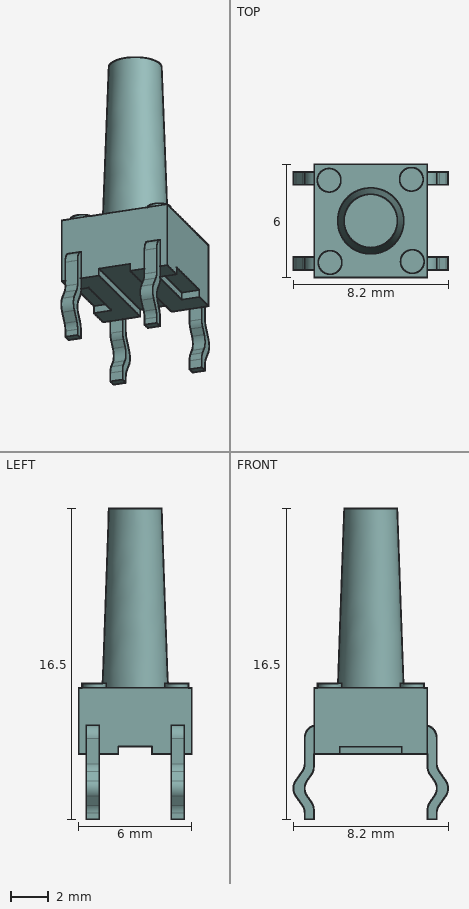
import cadquery as cq
import math

BODY_SIDE = 6.0
BODY_HEIGHT = 3.5
NOTCH_HEIGHT = 0.4
CHANNEL_WIDTH = 1.77
RECESS_WIDTH = 3.3
RECESS_DEPTH = 1.0

PLUNGER_BASE_DIAMETER = 3.5
PLUNGER_TOP_DIAMETER = 2.82
PLUNGER_LENGTH = 9.5

RIVET_DIAMETER = 1.25
RIVET_HEIGHT = 0.25
RIVET_X = 2.15
RIVET_Y = 2.2
RIVET_COUNT = 4

LEAD_THICKNESS = 0.5
LEAD_WIDTH = 0.7
LEAD_ROW_Y = 2.25
LEAD_TOP_Z = 1.55
LEAD_BOTTOM_Z = -3.45
LEAD_EMBED = 0.5
KINK_Z = -1.81
KINK_REACH = 0.6
KINK_ANGLE = math.radians(35)
BEND_RADIUS = 0.7

HALF_SIDE = BODY_SIDE / 2


def make_body():
    body = cq.Workplane("XY").box(BODY_SIDE, BODY_SIDE, BODY_HEIGHT, centered=(True, True, False))
    channel = cq.Workplane("XY").box(BODY_SIDE, CHANNEL_WIDTH, NOTCH_HEIGHT, centered=(True, True, False))
    body = body.cut(channel)
    recess = cq.Workplane("XY").box(RECESS_WIDTH, RECESS_DEPTH, NOTCH_HEIGHT, centered=(True, True, False))
    for side in (-1, 1):
        recess_y = side * (HALF_SIDE - RECESS_DEPTH / 2)
        body = body.cut(recess.translate((0, recess_y, 0)))
    return body


def make_plunger():
    return (
        cq.Workplane("XY", origin=(0, 0, BODY_HEIGHT))
        .circle(PLUNGER_BASE_DIAMETER / 2)
        .workplane(offset=PLUNGER_LENGTH)
        .circle(PLUNGER_TOP_DIAMETER / 2)
        .loft()
    )


def make_rivets():
    radius = math.hypot(RIVET_X, RIVET_Y)
    first_angle = math.degrees(math.atan2(RIVET_Y, RIVET_X))
    return (
        cq.Workplane("XY", origin=(0, 0, BODY_HEIGHT))
        .polarArray(radius, first_angle, 360, RIVET_COUNT)
        .circle(RIVET_DIAMETER / 2)
        .extrude(RIVET_HEIGHT)
    )


def make_lead():
    """One lead on the +X side, centred on y = 0."""
    inner_x = HALF_SIDE
    outer_x = inner_x + LEAD_THICKNESS

    tip_rounding = BEND_RADIUS * (1 / math.cos(KINK_ANGLE) - 1)
    outer_tip_x = outer_x + KINK_REACH + tip_rounding
    inner_tip_x = outer_tip_x - LEAD_THICKNESS / math.cos(KINK_ANGLE)
    outer_rise = (outer_tip_x - outer_x) / math.tan(KINK_ANGLE)
    inner_rise = (inner_tip_x - inner_x) / math.tan(KINK_ANGLE)

    stub_end_x = inner_x - LEAD_EMBED
    stub_bottom_z = LEAD_TOP_Z - LEAD_THICKNESS
    elbow = (outer_x, LEAD_TOP_Z)
    outer_kink = [
        (outer_x, KINK_Z + outer_rise),
        (outer_tip_x, KINK_Z),
        (outer_x, KINK_Z - outer_rise),
    ]
    inner_kink = [
        (inner_x, KINK_Z - inner_rise),
        (inner_tip_x, KINK_Z),
        (inner_x, KINK_Z + inner_rise),
    ]
    foot = [(outer_x, LEAD_BOTTOM_Z), (inner_x, LEAD_BOTTOM_Z)]
    stub = [(inner_x, stub_bottom_z), (stub_end_x, stub_bottom_z), (stub_end_x, LEAD_TOP_Z)]

    strip = (
        cq.Workplane("XZ")
        .polyline([elbow] + outer_kink + foot + inner_kink + stub)
        .close()
        .extrude(LEAD_WIDTH / 2, both=True)
    )
    bends = [elbow] + outer_kink + inner_kink
    bend_edges = []
    for x, z in bends:
        nearest = cq.NearestToPointSelector((x, 0, z))
        bend_edges.append(strip.edges("|Y").edges(nearest).val())
    return strip.newObject(bend_edges).fillet(BEND_RADIUS)


def make_leads():
    right_lead = make_lead()
    left_lead = right_lead.mirror("YZ")
    leads = []
    for row_y in (-LEAD_ROW_Y, LEAD_ROW_Y):
        leads.append(right_lead.translate((0, row_y, 0)))
        leads.append(left_lead.translate((0, row_y, 0)))
    return leads


result = make_body().union(make_plunger()).union(make_rivets())
for lead in make_leads():
    result = result.union(lead)